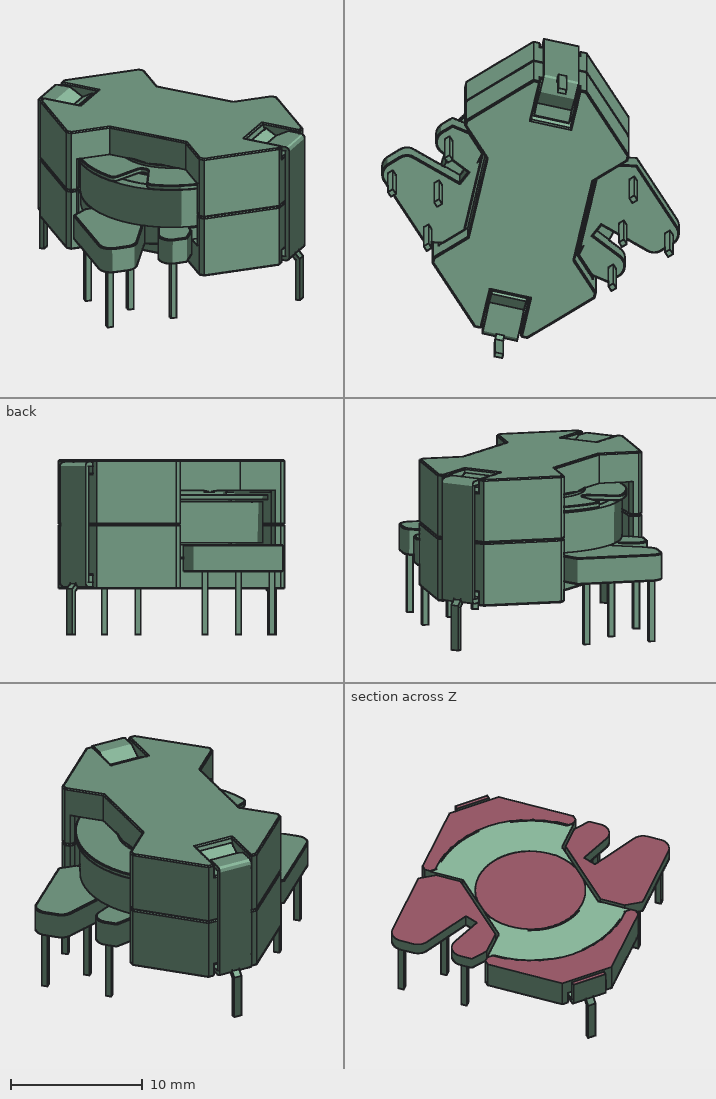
import cadquery as cq
import math

DIAG = math.sqrt(0.5)

core_half_width = 8.6
core_height = 9.8
core_mid = core_height / 2
wing_edge = 0.67
neck_corner = 5.21
wing_chamfer = 0.31
corner_face = 10.1
core_edge = 0.1

window_radius = 7.6
window_height = 5.2
window_half_width = 5.09
window_fillet = 0.14
post_diameter = 8.3

recess_half_width = 1.53
recess_back = 6.95
recess_back_slope = 20.0
recess_depth = 1.03

clip_half_width = 1.36
clip_outer = 10.6
clip_thickness = 0.35
clip_inset = 0.15
clip_flat_end = 9.2
clip_valley = 8.15
clip_valley_drop = 0.6
clip_tip = 7.31
clip_corner_radius = 0.33
clip_bend_radius = 0.24
ground_pin_half_width = 0.31
ground_pin_step = 0.38
ground_pin_bend_z = 0.38

hub_diameter = 9.13
coil_diameter = 12.23
tape_inner_diameter = 12.32
tape_diameter = 13.91
winding_bottom = 3.51
winding_top = 6.6
tape_groove_depth = 0.15
upper_flange_diameter = 14.65
lower_flange_diameter = 13.81
lower_flange_bottom = 2.4
upper_flange_bottom = 6.76
upper_flange_top = 7.17
flange_edge = 0.07
wire_notch_apex = 3.94
wire_notch_half_angle = 23.0
wire_notch_radius = 0.48
wire_notch_lip_radius = 0.52

foot_bottom = 1.3
foot_top = 3.37
foot_outer = 8.46
foot_clearance = 0.22
foot_edge = 0.09
foot_radius = 1.0
foot_slope_radius = 0.15
foot_tip = 7.3
foot_slope_start = 1.69
large_foot_inner = (-4.3, 3.66)
large_foot_corner = (-foot_outer, 5.8)
small_foot_inner = (-4.3, 2.55)
small_foot_corner = (-foot_outer, 4.05)
pin_pitch = 2.55
pin_width = 0.45
pin_bottom = -3.47
pin_embed = 0.52


def half_turn(body):
    return body.rotate((0, 0, 0), (0, 0, 1), 180)


def to_diagonal(body):
    """Turn a body modelled along +X onto the +X+Y diagonal."""
    return body.rotate((0, 0, 0), (0, 0, 1), 45)


def from_diagonal(body):
    return body.rotate((0, 0, 0), (0, 0, 1), -45)


def profile_along_x(points, half_width):
    """Prism with an X-Z outline, centred on the XZ plane."""
    return cq.Workplane("XZ").polyline(points).close().extrude(half_width, both=True)


def cylinder(diameter, z_start, z_end):
    return cq.Workplane("XY").workplane(offset=z_start).circle(diameter / 2).extrude(z_end - z_start)


def core_outline():
    w = core_half_width
    corner = corner_face / DIAG - w
    half = [
        (-neck_corner, wing_edge),
        (-wing_edge, neck_corner),
        (-wing_edge, w - wing_chamfer),
        (-wing_edge + wing_chamfer, w),
        (corner, w),
        (w, corner),
        (w, -wing_edge + wing_chamfer),
        (w - wing_chamfer, -wing_edge),
    ]
    return half + [(-x, -y) for x, y in half]


def core_window():
    """Ring-shaped winding space with rounded roots, opened straight through both slanted neck sides."""
    bottom = core_mid - window_height / 2
    top = core_mid + window_height / 2
    ring = cylinder(2 * window_radius, bottom, top).cut(cylinder(post_diameter, bottom, top))
    ring = ring.faces("<Z or >Z").edges().fillet(window_fillet)
    opening = cq.Workplane("XY").box(2 * window_half_width, 4 * core_half_width, window_height)
    opening = to_diagonal(opening.translate((0, 0, core_mid)))
    opening = opening.cut(cylinder(2 * (window_radius - window_fillet), bottom, top))
    return ring.union(opening)


def clip_recess():
    """Recess for the clip spring in the top of the +X+Y corner."""
    floor = core_height - recess_depth
    back_shift = recess_depth * math.tan(math.radians(recess_back_slope))
    return to_diagonal(profile_along_x(
        [
            (recess_back, core_height),
            (recess_back + back_shift, floor),
            (2 * core_half_width, floor),
            (2 * core_half_width, core_height),
        ],
        recess_half_width,
    ))


def chamfer_recess_mouth(body):
    """Chamfer the recess edges on the +X+Y corner face."""
    mouth = cq.selectors.BoxSelector(
        (corner_face - core_edge, -recess_half_width - core_edge, core_mid + core_edge),
        (corner_face + core_edge, recess_half_width + core_edge, core_height - core_edge),
    )
    return to_diagonal(from_diagonal(body).edges(mouth).chamfer(core_edge))


def core():
    upper = cq.Workplane("XY").workplane(offset=core_mid).polyline(core_outline()).close()
    upper = upper.extrude(core_height - core_mid)
    recess = clip_recess()
    upper = upper.cut(recess).cut(half_turn(recess))
    upper = chamfer_recess_mouth(upper)
    upper = chamfer_recess_mouth(half_turn(upper))
    upper = upper.cut(core_window())
    upper = upper.faces("<Z or >Z").edges().chamfer(core_edge)
    lower = upper.mirror("XY", (0, 0, core_mid))
    return upper.union(lower)


def clip():
    """Spring clip on the +X+Y corner: two spring ends bent into a V and one ground pin."""
    top = core_height - clip_inset
    t = clip_thickness
    bend_run = clip_flat_end - clip_valley
    bend_angle = math.atan2(clip_valley_drop, bend_run)
    valley = top - clip_valley_drop
    tip = valley + (clip_valley - clip_tip) * math.tan(bend_angle)
    upper_half = profile_along_x(
        [
            (clip_outer, core_mid),
            (clip_outer, top),
            (clip_flat_end, top),
            (clip_valley, valley),
            (clip_tip, tip),
            (clip_tip - t * math.sin(bend_angle), tip - t * math.cos(bend_angle)),
            (clip_valley, valley - t / math.cos(bend_angle)),
            (clip_flat_end + t * math.tan(bend_angle / 2), top - t),
            (clip_outer - t, top - t),
            (clip_outer - t, core_mid),
        ],
        clip_half_width,
    )
    upper_half = upper_half.faces(">X").edges(">Z").fillet(clip_corner_radius)
    flat_end_edge = cq.selectors.NearestToPointSelector((clip_flat_end, 0, top))
    upper_half = upper_half.edges(flat_end_edge).fillet(clip_bend_radius)
    lower_half = upper_half.mirror("XY", (0, 0, core_mid))
    pin_outer = clip_outer + ground_pin_step
    bend = ground_pin_bend_z
    pin = profile_along_x(
        [
            (clip_outer - t, bend + t),
            (clip_outer, bend + t),
            (clip_outer, bend),
            (pin_outer, bend - ground_pin_step),
            (pin_outer, pin_bottom),
            (pin_outer - t, pin_bottom),
            (pin_outer - t, bend - ground_pin_step - t / 2),
            (clip_outer - t, bend - t / 2),
        ],
        ground_pin_half_width,
    )
    return to_diagonal(upper_half.union(lower_half).union(pin))


def upper_flange():
    """Flange disc with a rounded V notch for the wires, opening towards +X-Y."""
    disc = cylinder(upper_flange_diameter, upper_flange_bottom, upper_flange_top)
    reach = upper_flange_diameter
    spread = (reach - wire_notch_apex) * math.tan(math.radians(wire_notch_half_angle))
    notch = (
        cq.Workplane("XY")
        .workplane(offset=upper_flange_bottom)
        .polyline([(wire_notch_apex, 0), (reach, -spread), (reach, spread)])
        .close()
        .extrude(upper_flange_top - upper_flange_bottom)
        .edges("|Z and <X")
        .fillet(wire_notch_radius)
    )
    flange = disc.cut(notch)
    lip_zone = cq.selectors.BoxSelector(
        (wire_notch_apex + wire_notch_radius * 4, -reach, upper_flange_bottom),
        (reach, reach, upper_flange_top),
    )
    flange = flange.edges(lip_zone).edges("|Z").fillet(wire_notch_lip_radius)
    flange = flange.faces("<Z or >Z").edges().chamfer(flange_edge)
    return from_diagonal(flange)


def winding():
    coil = cylinder(tape_diameter, winding_bottom, winding_top)
    groove = cylinder(tape_inner_diameter, winding_top - tape_groove_depth, winding_top)
    groove = groove.cut(cylinder(coil_diameter, winding_top - tape_groove_depth, winding_top))
    return coil.cut(groove)


def plate(outline, z_start, z_end):
    return (
        cq.Workplane("XY")
        .workplane(offset=z_start)
        .polyline(outline)
        .close()
        .extrude(z_end - z_start)
    )


def lower_flange():
    """Flange disc, cut back where the gaps between the feet run in."""
    disc = cylinder(lower_flange_diameter, lower_flange_bottom, foot_top)
    gap = plate(
        [large_foot_corner, large_foot_inner, small_foot_inner, small_foot_corner],
        lower_flange_bottom,
        foot_top,
    )
    return disc.cut(gap).cut(half_turn(gap))


def feet():
    """Large two-pin foot and small one-pin foot at the -X+Y side, joined near the core."""
    inner = wing_edge + foot_clearance
    neck = neck_corner + foot_clearance / 2
    large = plate([
        (-neck, inner),
        (-inner, neck),
        (-inner, foot_tip),
        (-foot_slope_start, foot_outer),
        (-foot_outer, foot_outer),
        large_foot_corner,
        large_foot_inner,
    ], foot_bottom, foot_top)
    large = large.edges("|Z").edges("<X").fillet(foot_radius)
    large = large.edges("|Z").edges(">Y").edges(">X").fillet(foot_slope_radius)
    small = plate([
        (-neck, inner),
        (-foot_tip, inner),
        (-foot_outer, foot_slope_start),
        small_foot_corner,
        small_foot_inner,
    ], foot_bottom, foot_top)
    small = small.edges("|Z").edges("<X").edges(">Y").fillet(foot_radius)
    small = small.edges("|Z").edges("<X").edges("<Y").fillet(foot_slope_radius)
    return [body.faces("<Z or >Z").edges().chamfer(foot_edge) for body in (large, small)]


def pins():
    """Four square pins of one side, placed on the pin grid and sunk into the feet."""
    grid_spots = [(-3, 3), (-2, 2), (-1, 3), (-3, 1)]
    length = foot_bottom + pin_embed - pin_bottom
    return (
        cq.Workplane("XY")
        .workplane(offset=pin_bottom)
        .pushPoints([(column * pin_pitch, row * pin_pitch) for column, row in grid_spots])
        .rect(pin_width, pin_width)
        .extrude(length)
    )


result = core()
result = result.union(cylinder(hub_diameter, lower_flange_bottom, upper_flange_top))
result = result.union(lower_flange())
result = result.union(winding()).union(upper_flange())
for piece in feet() + [pins(), clip()]:
    result = result.union(piece).union(half_turn(piece))